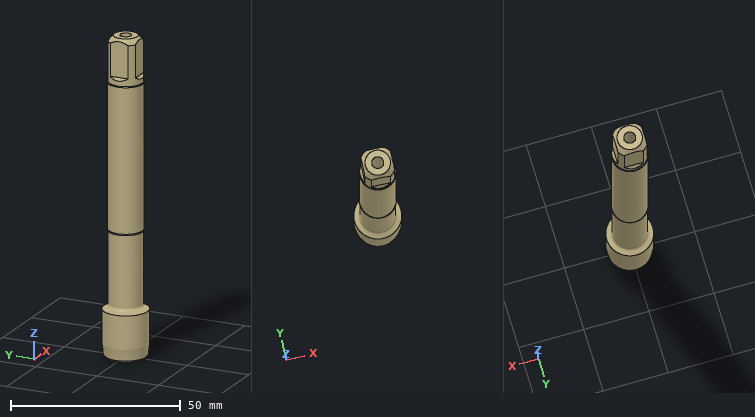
import math

import cadquery as cq

total_length = 100.0

head_diameter = 14.2
head_lead_diameter = 13.4
head_tip_diameter = 12.0
head_tip_chamfer_height = 0.7
head_lead_top = 4.3
head_bore_diameter = 2.5
head_length = 14.9

neck_diameter = 10.6
shoulder_angle = math.radians(30)
neck_fillet = 1.2
body_diameter = 11.0
body_bottom = 39.3
body_top = 85.7
body_bottom_chamfer = 0.5
body_top_chamfer = 0.3
shank_end_diameter = 10.7
shank_end_face_diameter = 7.5
shank_bore_diameter = 3.5

square_width = 9.0
square_bottom = 88.1
square_ramp = (shank_end_diameter - square_width) / 2


def revolve_outline(outline):
    """Revolve an (X = radius, Y = height) outline about the Z axis."""
    return outline.close().revolve(360, (0, 0), (0, 1))


def make_head():
    """Cutting head with a tapered lead and a coolant bore."""
    bore_radius = head_bore_diameter / 2
    return revolve_outline(cq.Workplane("XZ").polyline([
        (bore_radius, 0),
        (head_tip_diameter / 2, 0),
        (head_lead_diameter / 2, head_tip_chamfer_height),
        (head_diameter / 2, head_lead_top),
        (head_diameter / 2, head_length),
        (bore_radius, head_length),
    ]))


def make_drive_limit():
    """Square envelope of the drive, flaring at 45 degrees until it clears the round shank."""
    square = (
        cq.Workplane("XY")
        .workplane(offset=square_bottom)
        .rect(square_width, square_width)
        .extrude(total_length - square_bottom)
    )
    run_out = (
        cq.Workplane("XY")
        .workplane(offset=square_bottom - square_ramp)
        .rect(shank_end_diameter, shank_end_diameter)
        .workplane(offset=square_ramp)
        .rect(square_width, square_width)
        .loft(ruled=True)
    )
    lower_shank = (
        cq.Workplane("XY")
        .workplane(offset=head_length)
        .rect(head_diameter, head_diameter)
        .extrude(square_bottom - square_ramp - head_length)
    )
    return square.union(run_out).union(lower_shank)


def make_shank():
    """Stepped round shank with a through bore and a square drive end."""
    bore_radius = shank_bore_diameter / 2
    neck_radius = neck_diameter / 2
    body_radius = body_diameter / 2
    end_radius = shank_end_diameter / 2
    end_face_radius = shank_end_face_diameter / 2

    fillet_center_radius = neck_radius + neck_fillet
    cone_end_radius = fillet_center_radius - neck_fillet * math.sin(shoulder_angle)
    cone_end_height = head_length + (head_diameter / 2 - cone_end_radius) * math.tan(shoulder_angle)
    fillet_top = cone_end_height + neck_fillet * math.cos(shoulder_angle)
    middle_angle = (math.pi / 2 - shoulder_angle) / 2
    fillet_middle = (
        fillet_center_radius - neck_fillet * math.cos(middle_angle),
        fillet_top - neck_fillet * math.sin(middle_angle),
    )

    outline = (
        cq.Workplane("XZ")
        .moveTo(bore_radius, head_length)
        .lineTo(head_diameter / 2, head_length)
        .lineTo(cone_end_radius, cone_end_height)
        .threePointArc(fillet_middle, (neck_radius, fillet_top))
        .lineTo(neck_radius, body_bottom)
        .lineTo(body_radius, body_bottom + body_bottom_chamfer)
        .lineTo(body_radius, body_top - body_top_chamfer)
        .lineTo(end_radius, body_top)
        .lineTo(end_radius, total_length - (end_radius - end_face_radius))
        .lineTo(end_face_radius, total_length)
        .lineTo(bore_radius, total_length)
    )
    turned = revolve_outline(outline)
    return turned.intersect(make_drive_limit())


head = make_head()
shank = make_shank()

result = cq.Compound.makeCompound([head.val(), shank.val()])